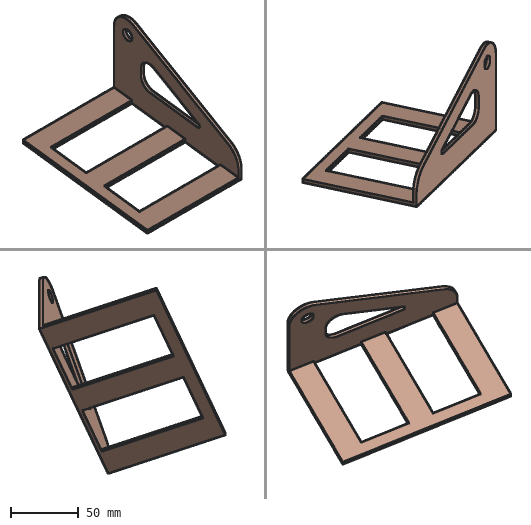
import cadquery as cq
import math

width = 138.0
depth = 93.0
height = 78.0
thickness = 3.0

slope_angle = math.radians(24.6)
slope = math.tan(slope_angle)
high_radius = 15.0
low_radius = 20.0
pin_diameter = 10.0

window_left = 30.0
window_bottom = 23.0
window_top = 50.4
window_radius = 10.0
window_tip_radius = 2.0

bar_width = 20.0
front_border = 10.0


def sloped_corner_height(arc_top, radius):
    """Height of the sharp left corner whose rounding peaks at arc_top."""
    return arc_top - radius + radius * (1 / math.cos(slope_angle) + slope)


def extrude_upright(outline):
    """Extrude an XZ outline through the upright plate at the back."""
    return outline.extrude(thickness)


def round_corner(body, x, z, radius):
    """Round the Y-direction edge at one corner of an XZ outline."""
    reach = 0.1
    corner = cq.selectors.BoxSelector(
        (x - reach, depth - 2 * thickness, z - reach),
        (x + reach, depth + thickness, z + reach),
    )
    return body.edges("|Y").edges(corner).fillet(radius)


back_plane = cq.Workplane("XZ", origin=(0, depth, 0))

high_corner = sloped_corner_height(height, high_radius)
low_corner = high_corner - width * slope
upright = extrude_upright(
    back_plane.polyline([(0, 0), (width, 0), (width, low_corner), (0, high_corner)]).close()
)
upright = round_corner(upright, 0, high_corner, high_radius)
upright = round_corner(upright, width, low_corner, low_radius)

pin_hole = extrude_upright(
    back_plane.center(high_radius, height - high_radius).circle(pin_diameter / 2)
)

window_high = sloped_corner_height(window_top, window_radius)
window_tip = window_left + (window_high - window_bottom) / slope
window = extrude_upright(
    back_plane.polyline(
        [(window_left, window_bottom), (window_tip, window_bottom), (window_left, window_high)]
    ).close()
)
window = round_corner(window, window_left, window_bottom, window_radius)
window = round_corner(window, window_left, window_high, window_radius)
window = round_corner(window, window_tip, window_bottom, window_tip_radius)

base = cq.Workplane("XY").box(width, depth, thickness, centered=False)
opening_width = (width - 3 * bar_width) / 2
opening_depth = depth - thickness - front_border
for bay in range(2):
    opening_left = bar_width + bay * (opening_width + bar_width)
    opening = (
        cq.Workplane("XY", origin=(opening_left, front_border, 0))
        .box(opening_width, opening_depth, thickness, centered=False)
    )
    base = base.cut(opening)

result = base.union(upright.cut(pin_hole).cut(window))